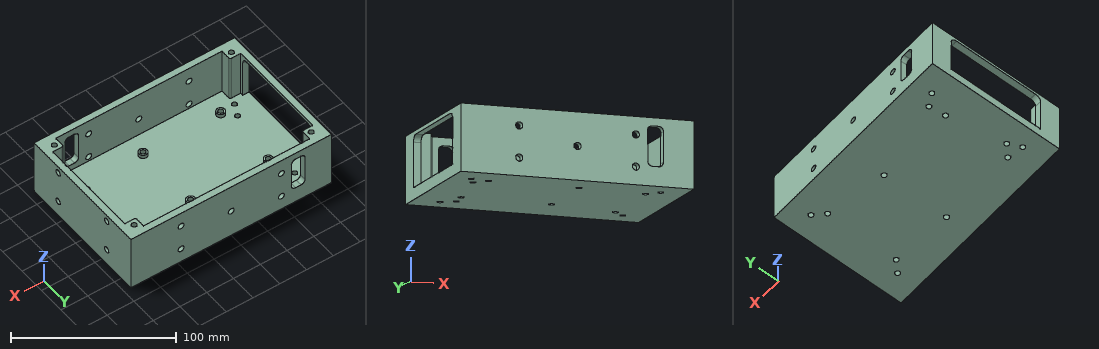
import cadquery as cq

LENGTH = 150.0
WIDTH = 100.0
HEIGHT = 42.5
WALL = 4.8
FLOOR = 7.5
CAVITY_LENGTH = LENGTH - 2 * WALL
CAVITY_WIDTH = WIDTH - 2 * WALL

POST_SIZE = 8.1
POST_EDGE_RADIUS = 1.2
LID_HOLE_INSET = 8.8
LID_HOLE_DIAMETER = 3.6
LID_HOLE_DEPTH = 22.5

STANDOFF_DIAMETER = 6.0
STANDOFF_HEIGHT = 2.7
STANDOFF_BORE = 3.6
STANDOFF_POINTS = [(x, y) for x in (-50.1, 8.0) for y in (-30.0, 19.0)]

FLOOR_HOLE_DIAMETER = 3.5
FLOOR_HOLE_POINTS = [(-57.6, 36.0), (-48.9, 31.0), (-57.6, -23.0), (-61.8, -32.0)]
FLOOR_HOLE_POINTS += [(x, side * y) for x, y in ((51.9, 27.0), (59.1, 34.0)) for side in (-1, 1)]

WALL_HOLE_DIAMETER = 4.4
SIDE_HOLE_SPACING_X = 75.0
SIDE_HOLE_SPACING_Z = 20.0
END_HOLE_SPACING_Y = 50.0
END_HOLE_SPACING_Z = 25.0
END_HOLE_CENTRE_Z = 24.8

SLOT_WIDTH = 10.0
SLOT_HEIGHT = 25.0
SLOT_RADIUS = 3.0
SLOT_OFFSET_X = 50.1
SLOT_CENTRE_Z = 24.8

WINDOW_WIDTH = 70.0
WINDOW_TOP = 39.8
WINDOW_RADIUS = 4.0


def box_on(z, length, width, height):
    """Box centred on the Z axis with its underside at z."""
    return cq.Workplane("XY").workplane(offset=z).box(length, width, height, centered=(True, True, False))


def make_shell():
    """Open box whose cavity leaves a square post in each corner."""
    depth = HEIGHT - FLOOR
    lengthwise = box_on(FLOOR, CAVITY_LENGTH, CAVITY_WIDTH - 2 * POST_SIZE, depth)
    crosswise = box_on(FLOOR, CAVITY_LENGTH - 2 * POST_SIZE, CAVITY_WIDTH, depth)
    shell = box_on(0, LENGTH, WIDTH, HEIGHT).cut(lengthwise.union(crosswise))

    edge_x = CAVITY_LENGTH / 2 - POST_SIZE
    edge_y = CAVITY_WIDTH / 2 - POST_SIZE
    post_edges = cq.selectors.BoxSelector(
        (-edge_x - POST_EDGE_RADIUS, -edge_y - POST_EDGE_RADIUS, FLOOR),
        (edge_x + POST_EDGE_RADIUS, edge_y + POST_EDGE_RADIUS, HEIGHT),
    )
    return shell.edges("|Z").edges(post_edges).fillet(POST_EDGE_RADIUS)


def vertical_cylinders(points, diameter, bottom, top):
    plane = cq.Workplane("XY").workplane(offset=bottom)
    return plane.pushPoints(points).circle(diameter / 2).extrude(top - bottom)


def make_lid_holes():
    plane = cq.Workplane("XY").workplane(offset=HEIGHT)
    corners = plane.rect(LENGTH - 2 * LID_HOLE_INSET, WIDTH - 2 * LID_HOLE_INSET, forConstruction=True)
    return corners.vertices().circle(LID_HOLE_DIAMETER / 2).extrude(-LID_HOLE_DEPTH)


def make_side_holes():
    """Five holes in a quincunx, passing through both long walls."""
    plane = cq.Workplane("XZ", origin=(0, 0, HEIGHT / 2))
    points = [(0, 0)]
    points += [(i * SIDE_HOLE_SPACING_X / 2, j * SIDE_HOLE_SPACING_Z / 2) for i in (-1, 1) for j in (-1, 1)]
    return plane.pushPoints(points).circle(WALL_HOLE_DIAMETER / 2).extrude(WIDTH / 2, both=True)


def make_end_holes():
    """Four holes through the +X wall."""
    plane = cq.Workplane("YZ", origin=(LENGTH / 2, 0, END_HOLE_CENTRE_Z))
    corners = plane.rect(END_HOLE_SPACING_Y, END_HOLE_SPACING_Z, forConstruction=True).vertices()
    return corners.circle(WALL_HOLE_DIAMETER / 2).extrude(-WALL)


def make_slot(side):
    """Rounded slot through the -Y wall (side = -1) or the +Y wall (side = 1)."""
    slot = cq.Workplane("XY").box(SLOT_WIDTH, WALL, SLOT_HEIGHT).edges("|Y").fillet(SLOT_RADIUS)
    return slot.translate((-side * SLOT_OFFSET_X, side * (WIDTH - WALL) / 2, SLOT_CENTRE_Z))


def make_window():
    window = box_on(FLOOR, WALL, WINDOW_WIDTH, WINDOW_TOP - FLOOR)
    return window.edges("|X and >Z").fillet(WINDOW_RADIUS).translate((-(LENGTH - WALL) / 2, 0, 0))


standoff_top = FLOOR + STANDOFF_HEIGHT
result = make_shell()
result = result.union(vertical_cylinders(STANDOFF_POINTS, STANDOFF_DIAMETER, 0, standoff_top))
result = result.cut(vertical_cylinders(STANDOFF_POINTS, STANDOFF_BORE, 0, standoff_top))
result = result.cut(vertical_cylinders(FLOOR_HOLE_POINTS, FLOOR_HOLE_DIAMETER, 0, FLOOR))
result = result.cut(make_lid_holes())
result = result.cut(make_side_holes())
result = result.cut(make_end_holes())
for wall_side in (-1, 1):
    result = result.cut(make_slot(wall_side))
result = result.cut(make_window())